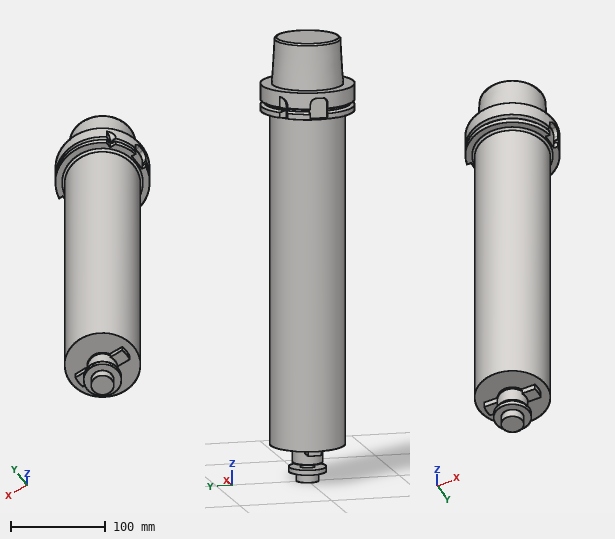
import cadquery as cq

total_length = 480.0
flange_top_z = 430.0
flange_height = 29.0
flange_bottom_z = flange_top_z - flange_height
body_bottom_z = 40.0

taper_base_radius = 38.0
taper_tip_radius = 35.0
taper_edge_chamfer = 2.0

flange_radius = 100.0 / 2
groove_center_z = 410.0
groove_mouth_width = 6.0
groove_floor_width = 2.0
groove_floor_radius = 45.5

body_radius = 80.0 / 2
collar_radius = 42.5
collar_height = 2.5

pilot_radius = 32.5 / 2
pilot_bottom_z = 19.5
pilot_chamfer = 1.0
relief_radius = 31.0 / 2
relief_height = 2.5
neck_radius = 16.0 / 2
disk_radius = 40.0 / 2
disk_top_z = 15.5
disk_bottom_z = 10.0
tip_radius = 24.0 / 2

key_radius = 30.5
key_width = 14.0
key_height = 6.5

slot_width = 19.0
slot_top_z = 424.5
drive_slot_floor_x = 44.0
drive_slot_corner_radius = 6.5
side_slot_floor_x = 31.5
side_slot_y = 41.5
side_slot_corner_radius = 9.0


def cylinder(radius, bottom_z, top_z):
    return cq.Workplane("XY").workplane(offset=bottom_z).circle(radius).extrude(top_z - bottom_z)


def taper_shank():
    outline = [
        (0, flange_top_z),
        (taper_base_radius, flange_top_z),
        (taper_tip_radius, total_length - taper_edge_chamfer),
        (taper_tip_radius - taper_edge_chamfer, total_length),
        (0, total_length),
    ]
    return cq.Workplane("XZ").polyline(outline).close().revolve(360, (0, 0), (0, 1))


def grooved_flange():
    outline = [
        (0, flange_bottom_z),
        (flange_radius, flange_bottom_z),
        (flange_radius, groove_center_z - groove_mouth_width / 2),
        (groove_floor_radius, groove_center_z - groove_floor_width / 2),
        (groove_floor_radius, groove_center_z + groove_floor_width / 2),
        (flange_radius, groove_center_z + groove_mouth_width / 2),
        (flange_radius, flange_top_z),
        (0, flange_top_z),
    ]
    return cq.Workplane("XZ").polyline(outline).close().revolve(360, (0, 0), (0, 1))


def body():
    collar_bottom_z = flange_bottom_z - collar_height
    outline = [
        (0, body_bottom_z),
        (body_radius, body_bottom_z),
        (body_radius, collar_bottom_z),
        (collar_radius, flange_bottom_z),
        (0, flange_bottom_z),
    ]
    return cq.Workplane("XZ").polyline(outline).close().revolve(360, (0, 0), (0, 1))


def lower_end():
    relief_bottom_z = body_bottom_z - relief_height
    relief = cylinder(relief_radius, relief_bottom_z, body_bottom_z)
    pilot = cylinder(pilot_radius, pilot_bottom_z, relief_bottom_z).faces("<Z").chamfer(pilot_chamfer)
    neck = cylinder(neck_radius, disk_top_z, pilot_bottom_z)
    disk = cylinder(disk_radius, disk_bottom_z, disk_top_z)
    tip = cylinder(tip_radius, 0, disk_bottom_z)
    return relief.union(pilot).union(neck).union(disk).union(tip)


def cross_key():
    key_bottom_z = body_bottom_z - key_height
    bar = cq.Workplane("XY").box(2 * key_radius, key_width, key_height, centered=(True, True, False))
    return bar.translate((0, 0, key_bottom_z)).intersect(cylinder(key_radius, key_bottom_z, body_bottom_z))


def rim_slot(side, floor_x, center_y, corner_radius):
    """Cutter open outward and downward, stopping at the flange underside."""
    depth = flange_radius - floor_x
    height = slot_top_z - flange_bottom_z
    center_x = side * (floor_x + depth / 2)
    cutter = cq.Workplane("XY").box(depth, slot_width, height, centered=(True, True, False))
    cutter = cutter.edges("|X and >Z").fillet(corner_radius)
    return cutter.translate((center_x, center_y, flange_bottom_z))


flange = grooved_flange()
for side in (-1, 1):
    flange = flange.cut(rim_slot(side, drive_slot_floor_x, 0, drive_slot_corner_radius))
flange = flange.cut(rim_slot(-1, side_slot_floor_x, side_slot_y, side_slot_corner_radius))

result = body().union(flange).union(taper_shank()).union(lower_end()).union(cross_key())